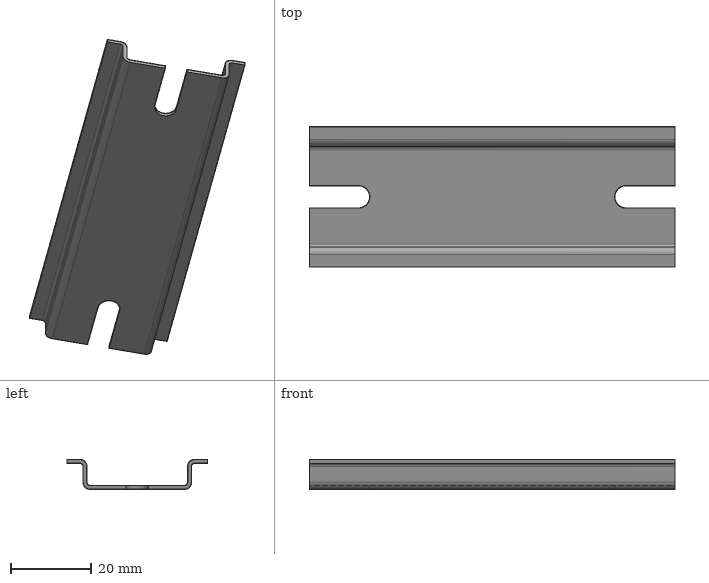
import cadquery as cq

rail_length = 91.0
rail_width = 35.0
rail_height = 7.5
sheet_thickness = 1.0

channel_width = 27.0
half_outer = channel_width / 2
half_inner = half_outer - sheet_thickness
flange_bottom = rail_height - sheet_thickness
inner_bend_radius = 0.8
outer_bend_radius = inner_bend_radius + sheet_thickness

slot_width = 5.5
slot_depth = 15.0


def make_rail():
    """Extrude the bent-sheet section along X, with its underside at z = 0."""
    half_width = rail_width / 2

    section = (
        cq.Workplane("YZ")
        .polyline([
            (-half_width, rail_height),
            (-half_inner, rail_height),
            (-half_inner, sheet_thickness),
            (half_inner, sheet_thickness),
            (half_inner, rail_height),
            (half_width, rail_height),
            (half_width, flange_bottom),
            (half_outer, flange_bottom),
            (half_outer, 0),
            (-half_outer, 0),
            (-half_outer, flange_bottom),
            (-half_width, flange_bottom),
        ])
        .close()
    )
    return section.extrude(rail_length / 2, both=True)


def round_bends(rail):
    """Round both faces of the sheet at each of the four bends."""
    inside_corners = [
        (half_inner, sheet_thickness),
        (half_outer, flange_bottom),
    ]
    outside_corners = [
        (half_inner, rail_height),
        (half_outer, 0),
    ]
    for corners, radius in (
        (inside_corners, inner_bend_radius),
        (outside_corners, outer_bend_radius),
    ):
        for y, z in corners:
            for side in (-1, 1):
                bend_edge = cq.selectors.NearestToPointSelector((0, side * y, z))
                rail = rail.edges("|X").edges(bend_edge).fillet(radius)
    return rail


def make_end_slot(side):
    """Cutter for the round-ended slot at the +X (side = 1) or -X (side = -1) end."""
    slot = cq.Workplane("XY").center(side * rail_length / 2, 0)
    return slot.slot2D(2 * slot_depth, slot_width).extrude(sheet_thickness)


result = round_bends(make_rail())
for end_side in (-1, 1):
    result = result.cut(make_end_slot(end_side))